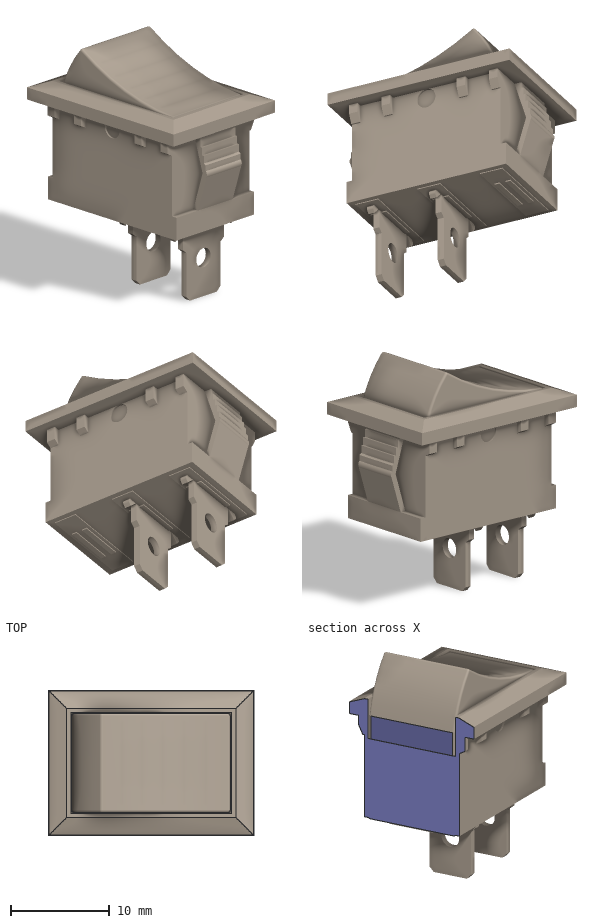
import cadquery as cq

FLANGE_LENGTH = 20.8
FLANGE_WIDTH = 14.7
FLANGE_RIM = 1.3
FLANGE_HEIGHT = 2.0
BEZEL_INSET = 1.8

BODY_LENGTH = 17.0
BODY_WIDTH = 11.25
BASE_LENGTH = 18.23
BASE_TOP = -8.38
BASE_BOTTOM = -10.83

RECESS_LENGTH = 16.27
RECESS_WIDTH = 10.21
RECESS_FLOOR = -2.23
PIVOT_HEIGHT = -1.01
PIVOT_RADIUS = 1.05
PIN_SETBACK = 0.2

ROCKER_WIDTH = 10.07
ROCKER_END = 8.01
ROCKER_END_HEIGHT = 1.98
ROCKER_TIP = (-5.05, 6.2)
ROCKER_DISH = (1.35, 3.2)
ROCKER_BACK = (-6.38, 4.45)
ROCKER_HEEL = (-8.05, 0.25)
ROCKER_FILLET = 0.25

CLIP_WIDTH = 5.07
CLIP_TOP_OUTER = 9.25
CLIP_STEP = 0.25
CLIP_FIRST_LEDGE = -0.65
CLIP_LEDGE_PITCH = 0.82
CLIP_LEDGES = 4
CLIP_LAST_LEDGE_DROP = 0.15
CLIP_NOSE_TOP = -3.85
CLIP_NOSE_MIDDLE = -4.2
CLIP_NOSE_BOTTOM = -4.53
CLIP_NOSE_SET_IN = 0.07
CLIP_INNER_KNEE = 9.8

TAB_LENGTH = 1.0
TAB_INNER_CENTER = 4.3
TAB_REACH = 0.67
FRONT_TAB_STRAIGHT = 1.5
FRONT_TAB_DEPTH = 1.88
REAR_TAB_STRAIGHT = 1.0
REAR_TAB_DEPTH = 1.95
REAR_TAB_TOE = 0.17

TERMINAL_PITCH = 7.1
TERMINAL_THICKNESS = 0.7
SHOULDER_WIDTH = 5.98
SHOULDER_BOTTOM = -12.93
BLADE_WIDTH = 4.92
BLADE_TOP = -13.35
BLADE_BOTTOM = -18.6
BLADE_CHAMFER = 0.52
TERMINAL_HOLE_HEIGHT = -14.47
TERMINAL_HOLE_RADIUS = 1.05
BARB_TOE_OFFSET = 4.05
BARB_TOE_HEIGHT = -11.77
BARB_ANGLE = 42.0
BARB_LENGTH = 1.73
BARB_ROUND = 0.3

PAD_LENGTH = 2.57
PAD_WIDTH = 10.1
PAD_THICKNESS = 0.1
RAIL_LENGTH = 0.57
RAIL_WIDTH = 5.1
RAIL_THICKNESS = 0.12


def block(length, width, bottom, top, x=0.0, y=0.0):
    """Box centred on (x, y) that spans bottom to top in Z."""
    box = cq.Workplane("XY").box(length, width, top - bottom, centered=(True, True, False))
    return box.translate((x, y, bottom))


def pivot_cylinder(width):
    """Cylinder along Y on the rocker's pivot axis, centred on Y = 0."""
    circle = cq.Workplane("XZ").center(0, PIVOT_HEIGHT).circle(PIVOT_RADIUS)
    return circle.extrude(width / 2, both=True)


def make_flange():
    """Rectangular rim topped by a sloping bezel."""
    rim = block(FLANGE_LENGTH, FLANGE_WIDTH, 0, FLANGE_RIM)
    bezel = (
        cq.Workplane("XY", origin=(0, 0, FLANGE_RIM))
        .rect(FLANGE_LENGTH, FLANGE_WIDTH)
        .workplane(offset=FLANGE_HEIGHT - FLANGE_RIM)
        .rect(FLANGE_LENGTH - 2 * BEZEL_INSET, FLANGE_WIDTH - 2 * BEZEL_INSET)
        .loft(ruled=True)
    )
    return rim.union(bezel)


def make_clip():
    """Snap clip on the -X side: stepped upper arm, round nose, straight lower arm."""
    outline = cq.Workplane("XZ").moveTo(-BODY_LENGTH / 2, 0).lineTo(-CLIP_TOP_OUTER, 0)
    for ledge in range(CLIP_LEDGES):
        height = CLIP_FIRST_LEDGE - ledge * CLIP_LEDGE_PITCH
        riser = CLIP_TOP_OUTER + ledge * CLIP_STEP
        drop = CLIP_LAST_LEDGE_DROP if ledge == CLIP_LEDGES - 1 else 0
        outline = outline.lineTo(-riser, height).lineTo(-riser - CLIP_STEP, height - drop)
    nose_top_x = CLIP_TOP_OUTER + CLIP_LEDGES * CLIP_STEP
    nose_bottom_x = FLANGE_LENGTH / 2 - CLIP_NOSE_SET_IN
    outline = (
        outline.lineTo(-nose_top_x, CLIP_NOSE_TOP)
        .threePointArc((-FLANGE_LENGTH / 2, CLIP_NOSE_MIDDLE), (-nose_bottom_x, CLIP_NOSE_BOTTOM))
        .lineTo(-BASE_LENGTH / 2, BASE_TOP)
        .lineTo(-BODY_LENGTH / 2, BASE_TOP)
        .lineTo(-CLIP_INNER_KNEE, CLIP_NOSE_MIDDLE)
        .close()
    )
    return outline.extrude(CLIP_WIDTH / 2, both=True)


def make_tab(x, front):
    """Panel tab under the flange, tapered at its lower end, on the -Y (front) or +Y wall."""
    wall = BODY_WIDTH / 2
    edge = wall + TAB_REACH
    if front:
        points = [(-wall, 0), (-edge, 0), (-edge, -FRONT_TAB_STRAIGHT), (-wall, -FRONT_TAB_DEPTH)]
    else:
        toe = (wall + REAR_TAB_TOE, -REAR_TAB_DEPTH)
        points = [(wall, 0), (edge, 0), (edge, -REAR_TAB_STRAIGHT), toe, (wall, -REAR_TAB_DEPTH)]
    tab = cq.Workplane("YZ").polyline(points).close().extrude(TAB_LENGTH / 2, both=True)
    return tab.translate((x, 0, 0))


def make_barb():
    """Barb on the +Y side that slants outward and down, its upper end corner rounded."""
    barb = block(TERMINAL_THICKNESS, BARB_LENGTH, 0, TERMINAL_THICKNESS, y=-BARB_LENGTH / 2)
    barb = barb.faces(">Y").edges(">Z").fillet(BARB_ROUND)
    barb = barb.rotate((0, 0, 0), (1, 0, 0), -BARB_ANGLE)
    return barb.translate((0, BARB_TOE_OFFSET, BARB_TOE_HEIGHT))


def make_terminal(x):
    """Blade terminal with a wide shoulder, a chamfered end, a hole and two barbs."""
    shoulder = SHOULDER_WIDTH / 2
    blade = BLADE_WIDTH / 2
    right_side = [
        (shoulder, BASE_BOTTOM),
        (shoulder, SHOULDER_BOTTOM),
        (blade, BLADE_TOP),
        (blade, BLADE_BOTTOM + BLADE_CHAMFER),
        (blade - BLADE_CHAMFER, BLADE_BOTTOM),
    ]
    left_side = [(-y, z) for y, z in reversed(right_side)]
    plate = cq.Workplane("YZ").polyline(right_side + left_side).close()
    plate = plate.extrude(TERMINAL_THICKNESS / 2, both=True)
    hole = cq.Workplane("YZ").center(0, TERMINAL_HOLE_HEIGHT).circle(TERMINAL_HOLE_RADIUS)
    plate = plate.cut(hole.extrude(TERMINAL_THICKNESS, both=True))
    barb = make_barb()
    plate = plate.union(barb).union(barb.mirror("XZ"))
    return plate.translate((x, 0, 0))


def make_pad(x):
    """Thin pad under the base with a rail on each side of the terminal slot."""
    pad_bottom = BASE_BOTTOM - PAD_THICKNESS
    pad = block(PAD_LENGTH, PAD_WIDTH, pad_bottom, BASE_BOTTOM, x)
    rail_offset = (TERMINAL_THICKNESS + RAIL_LENGTH) / 2
    for side in (-1, 1):
        rail_x = x + side * rail_offset
        pad = pad.union(block(RAIL_LENGTH, RAIL_WIDTH, pad_bottom - RAIL_THICKNESS, pad_bottom, rail_x))
    return pad


def make_housing():
    """Flange, body, base, clips, tabs, pads and terminals, hollowed for the rocker."""
    housing = make_flange()
    housing = housing.union(block(BODY_LENGTH, BODY_WIDTH, BASE_BOTTOM, 0))
    housing = housing.union(block(BASE_LENGTH, BODY_WIDTH, BASE_BOTTOM, BASE_TOP))

    clip = make_clip()
    housing = housing.union(clip).union(clip.mirror("YZ"))

    tab_outer_center = (BODY_LENGTH - TAB_LENGTH) / 2
    for x in (-tab_outer_center, -TAB_INNER_CENTER, TAB_INNER_CENTER, tab_outer_center):
        for front in (True, False):
            housing = housing.union(make_tab(x, front))

    for x in (-TERMINAL_PITCH, 0, TERMINAL_PITCH):
        housing = housing.union(make_pad(x))
    for x in (0, TERMINAL_PITCH):
        housing = housing.union(make_terminal(x))

    housing = housing.cut(block(RECESS_LENGTH, RECESS_WIDTH, RECESS_FLOOR, FLANGE_HEIGHT))
    return housing.cut(pivot_cylinder(BODY_WIDTH))


def make_rocker():
    """Tilted rocker with a dished top and rounded edges, carried on two pivot pins."""
    rocker = (
        cq.Workplane("XZ")
        .moveTo(ROCKER_HEEL[0], RECESS_FLOOR)
        .lineTo(*ROCKER_HEEL)
        .threePointArc(ROCKER_BACK, ROCKER_TIP)
        .threePointArc(ROCKER_DISH, (ROCKER_END, ROCKER_END_HEIGHT))
        .lineTo(ROCKER_END, RECESS_FLOOR)
        .close()
        .extrude(ROCKER_WIDTH / 2, both=True)
    )
    rocker = rocker.faces("not <Z").edges("not <Z").fillet(ROCKER_FILLET)
    return rocker.union(pivot_cylinder(BODY_WIDTH - 2 * PIN_SETBACK))


housing = make_housing()
rocker = make_rocker()
result = cq.Compound.makeCompound([housing.val(), rocker.val()])